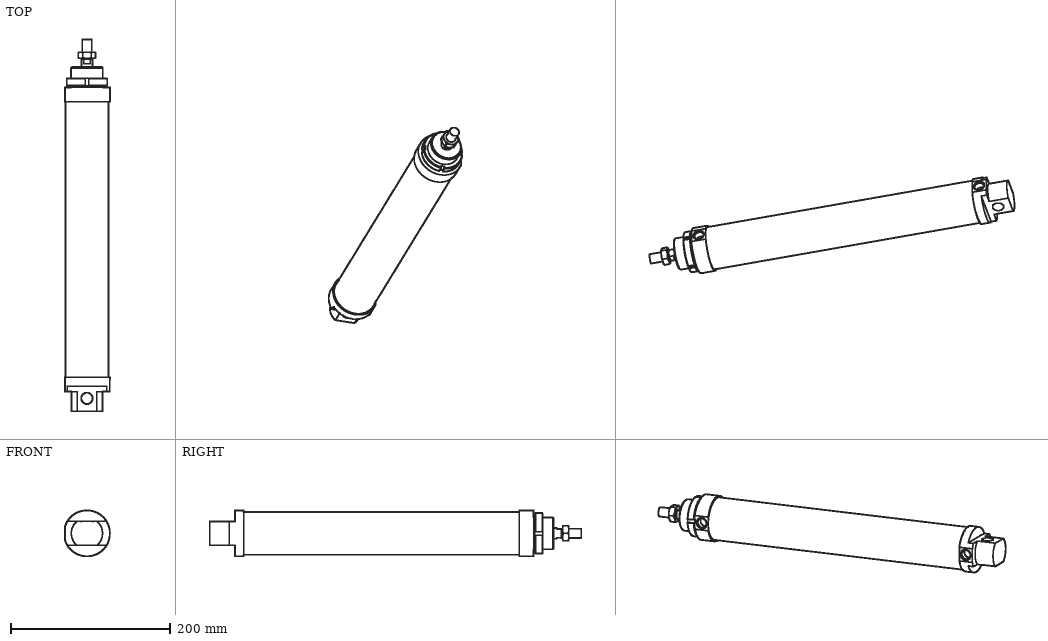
import cadquery as cq
import math


LUG_BORE_Y = 16.5
REAR_HEAD_Y = 24.8
TANG_STEP_Y = 31.8
TUBE_START_Y = 43.0
TUBE_END_Y = 388.5
NECK_Y = 406.8
NECK_END_Y = 432.5
ROD_NUT_Y = 443.0
ROD_TIP_Y = 467.0

HEAD_DIAMETER = 58.0
TUBE_DIAMETER = 54.0
NECK_DIAMETER = 40.0
LUG_DIAMETER = 39.0
NECK_CHAMFER = 1.5
TANG_THICKNESS = 30.5
LUG_BORE_DIAMETER = 14.0
PORT_FLAT_DEPTH = 1.5
PORT_FLAT_X = -(HEAD_DIAMETER / 2 - PORT_FLAT_DEPTH)
PORT_DIAMETER = 11.5
PORT_CHAMFER = 1.15
PORT_OFFSET = 9.0
PORT_DEPTH = 9.5

MOUNT_NUT_DIAMETER = 51.5
MOUNT_NUT_LENGTH = 10.0
MOUNT_NUT_GAP = 2.0
MOUNT_NUT_Y = NECK_Y + MOUNT_NUT_GAP
MOUNT_NUT_END_Y = MOUNT_NUT_Y + MOUNT_NUT_LENGTH
MOUNT_NUT_CHAMFER = 1.0
SLOT_COUNT = 4
SLOT_WIDTH = 4.5
SLOT_DEPTH = 3.0

ROD_DIAMETER = 14.0
ROD_SOCKET_DEPTH = 23.5
ROD_START_Y = NECK_END_Y - ROD_SOCKET_DEPTH
THREAD_DIAMETER = 12.0
WRENCH_FLAT_SIZE = 11.0
WRENCH_FLAT_LENGTH = 5.5
SHANK_NUT_GAP = 1.5

ROD_NUT_ACROSS_FLATS = 19.0
ROD_NUT_LENGTH = 8.0
ROD_NUT_CHAMFER_ANGLE = 30.0


def cylinder_y(diameter, start, end):
    """Cylinder on the Y axis between two stations."""
    return cq.Workplane("XZ", origin=(0, start, 0)).circle(diameter / 2).extrude(start - end)


def block_y(width, height, start, end):
    """Rectangular block centred on the Y axis between two stations."""
    return cq.Workplane("XZ", origin=(0, start, 0)).rect(width, height).extrude(start - end)


def port_head(start, end):
    """Round head with a flat on its -X side."""
    flat_cut = block_y(HEAD_DIAMETER, HEAD_DIAMETER, start, end)
    flat_cut = flat_cut.translate((PORT_FLAT_X - HEAD_DIAMETER / 2, 0, 0))
    return cylinder_y(HEAD_DIAMETER, start, end).cut(flat_cut)


def port(y):
    """Blind port with a countersunk mouth, going in from the flat of a head."""
    plane = cq.Workplane("YZ", origin=(PORT_FLAT_X, y, 0))
    bore = plane.circle(PORT_DIAMETER / 2).extrude(PORT_DEPTH)
    mouth = plane.circle(PORT_DIAMETER / 2 + PORT_CHAMFER).extrude(PORT_CHAMFER, taper=45)
    return bore.union(mouth)


def make_housing():
    """Rear lug, rear head, tube, front head and neck, with the rod socket and both ports."""
    tang = block_y(HEAD_DIAMETER, TANG_THICKNESS, 0, TANG_STEP_Y)
    rear_head = port_head(REAR_HEAD_Y, TANG_STEP_Y).intersect(tang)
    rear_head = rear_head.union(port_head(TANG_STEP_Y, TUBE_START_Y))
    lug = cylinder_y(LUG_DIAMETER, 0, REAR_HEAD_Y).intersect(tang)
    lug_bore = cq.Workplane("XY", origin=(0, LUG_BORE_Y, 0)).circle(LUG_BORE_DIAMETER / 2)
    lug = lug.cut(lug_bore.extrude(TANG_THICKNESS, both=True))

    tube = cylinder_y(TUBE_DIAMETER, TUBE_START_Y, TUBE_END_Y)
    front_head = port_head(TUBE_END_Y, NECK_Y)
    neck = cylinder_y(NECK_DIAMETER, NECK_Y, NECK_END_Y).faces(">Y").chamfer(NECK_CHAMFER)
    rod_socket = cylinder_y(ROD_DIAMETER, ROD_START_Y, NECK_END_Y)

    housing = lug.union(rear_head).union(tube).union(front_head).union(neck).cut(rod_socket)
    for port_y in (TUBE_START_Y - PORT_OFFSET, TUBE_END_Y + PORT_OFFSET):
        housing = housing.cut(port(port_y))
    return housing


def make_mount_nut():
    """Round nut around the neck, with evenly spaced slots in its rim."""
    nut = cylinder_y(MOUNT_NUT_DIAMETER, MOUNT_NUT_Y, MOUNT_NUT_END_Y).edges().chamfer(MOUNT_NUT_CHAMFER)
    slot = block_y(2 * SLOT_DEPTH, SLOT_WIDTH, MOUNT_NUT_Y, MOUNT_NUT_END_Y)
    slot = slot.translate((MOUNT_NUT_DIAMETER / 2, 0, 0))
    for i in range(SLOT_COUNT):
        nut = nut.cut(slot.rotate((0, 0, 0), (0, 1, 0), i * 360 / SLOT_COUNT))
    return nut.cut(cylinder_y(NECK_DIAMETER, MOUNT_NUT_Y, MOUNT_NUT_END_Y))


def make_rod():
    """Piston rod with two wrench flats and a thinner threaded end."""
    shank_end = ROD_NUT_Y - SHANK_NUT_GAP
    flats_start = shank_end - WRENCH_FLAT_LENGTH
    shank = cylinder_y(ROD_DIAMETER, ROD_START_Y, flats_start)
    flats = cylinder_y(ROD_DIAMETER, flats_start, shank_end)
    flats = flats.intersect(block_y(ROD_DIAMETER, WRENCH_FLAT_SIZE, flats_start, shank_end))
    thread = cylinder_y(THREAD_DIAMETER, shank_end, ROD_TIP_Y)
    return shank.union(flats).union(thread)


def make_rod_nut():
    """Hexagon nut on the rod thread."""
    corner_radius = ROD_NUT_ACROSS_FLATS / math.sqrt(3)
    end = ROD_NUT_Y + ROD_NUT_LENGTH
    hexagon = cq.Workplane("XZ", origin=(0, ROD_NUT_Y, 0)).polygon(6, 2 * corner_radius)
    nut = hexagon.extrude(-ROD_NUT_LENGTH)
    flat_radius = ROD_NUT_ACROSS_FLATS / 2
    drop = (corner_radius - flat_radius) * math.tan(math.radians(ROD_NUT_CHAMFER_ANGLE))
    envelope = (
        cq.Workplane("XY")
        .moveTo(0, ROD_NUT_Y)
        .lineTo(flat_radius, ROD_NUT_Y)
        .lineTo(corner_radius, ROD_NUT_Y + drop)
        .lineTo(corner_radius, end - drop)
        .lineTo(flat_radius, end)
        .lineTo(0, end)
        .close()
        .revolve(360, (0, 0, 0), (0, 1, 0))
    )
    return nut.intersect(envelope).cut(cylinder_y(THREAD_DIAMETER, ROD_NUT_Y, end))


housing = make_housing()
mount_nut = make_mount_nut()
rod = make_rod()
rod_nut = make_rod_nut()

result = cq.Compound.makeCompound([housing.val(), mount_nut.val(), rod.val(), rod_nut.val()])